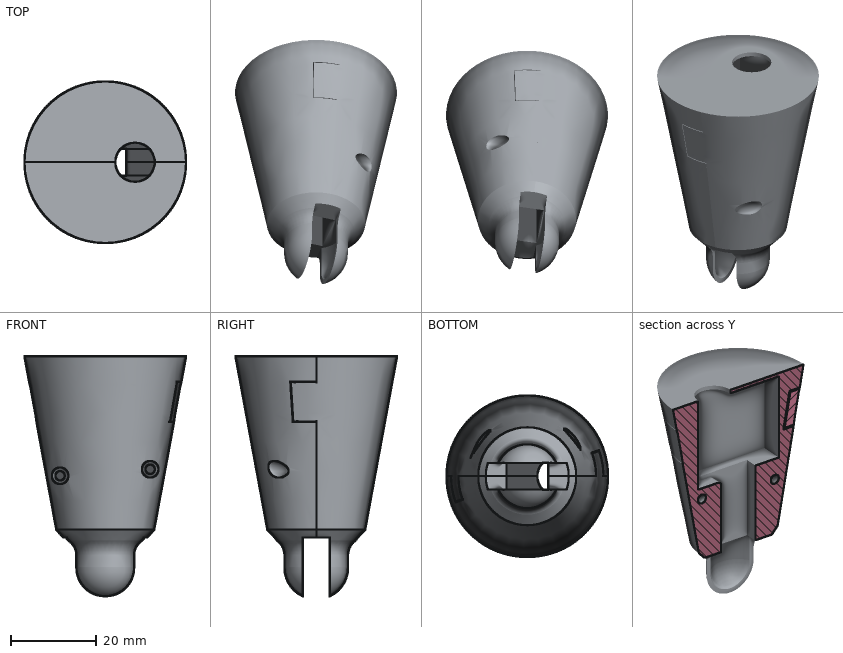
import cadquery as cq
import math


total_height = 56.35
top_radius = 19.0
waist_radius = 11.5
waist_height = 15.65
flare_radius = 9.1
flare_height = 13.0
neck_top = 9.8
dome_radius = 7.5
wall = 1.0

slot_width = 6.25
slot_top = 13.75
dome_center = math.sqrt(dome_radius**2 - (slot_width / 2)**2)
prong_pocket_radius = dome_radius - wall

chamber_length = 23.35
chamber_width = 11.05
chamber_floor = 33.8
well_length = 9.8
ledge_depth = 1.1
ledge_round = 1.05

cord_hole_diameter = 9.2
cord_hole_x = 7.0

screw_axes = [(-10.6, 28.3), (10.55, 29.8)]
screw_head_diameter = 3.9
screw_hole_diameter = 2.2
screw_head_seat = -3.0
screw_hole_end = 5.0

tab_angle = 20.0
tab_bottom = 40.85
tab_top = 50.45
tab_depth = 3.0
tab_clearance = 0.15
tab_root_angle = 10.0

reach = 2 * top_radius


def taper_radius(z):
    """Outer radius of the long taper at height z."""
    slope = (top_radius - waist_radius) / (total_height - waist_height)
    return waist_radius + slope * (z - waist_height)


def block(x_range, y_range, z_range):
    """Box between the given limits."""
    (x0, x1), (y0, y1), (z0, z1) = x_range, y_range, z_range
    return cq.Workplane("XY").box(x1 - x0, y1 - y0, z1 - z0, centered=False).translate((x0, y0, z0))


def rod_along_y(x, z, diameter, y_start, y_end):
    """Cylinder along Y between two Y positions."""
    rod = cq.Solid.makeCylinder(diameter / 2, y_end - y_start, cq.Vector(x, y_start, z), cq.Vector(0, 1, 0))
    return cq.Workplane(rod)


def domed_profile(radius):
    """Half-profile of a dome, drawn from its lowest point up to its equator."""
    diagonal = radius * math.sqrt(0.5)
    return (
        cq.Workplane("XZ")
        .moveTo(0, dome_center - radius)
        .threePointArc((diagonal, dome_center - diagonal), (radius, dome_center))
    )


def outer_shape():
    rise = flare_height - neck_top
    spread = flare_radius - dome_radius
    arc_radius = (rise**2 + spread**2) / (2 * spread)
    half_angle = math.asin(rise / arc_radius) / 2
    flare_mid = (
        dome_radius + arc_radius * (1 - math.cos(half_angle)),
        neck_top + arc_radius * math.sin(half_angle),
    )
    return (
        domed_profile(dome_radius)
        .lineTo(dome_radius, neck_top)
        .threePointArc(flare_mid, (flare_radius, flare_height))
        .lineTo(waist_radius, waist_height)
        .lineTo(top_radius, total_height)
        .lineTo(0, total_height)
        .close()
        .revolve(360, (0, 0, 0), (0, 1, 0))
    )


def fork_slot():
    return block((-reach, reach), (-slot_width / 2, slot_width / 2), (-dome_radius, slot_top))


def prong_pockets():
    """Domed hollow that leaves a thin wall on both prongs."""
    return (
        domed_profile(prong_pocket_radius)
        .lineTo(prong_pocket_radius, slot_top)
        .lineTo(0, slot_top)
        .close()
        .revolve(360, (0, 0, 0), (0, 1, 0))
    )


def chamber():
    x_range = (-chamber_length / 2, chamber_length / 2)
    y_range = (-chamber_width / 2, chamber_width / 2)
    return block(x_range, y_range, (chamber_floor, total_height - wall))


def well():
    """Channel from the chamber to the slot, with a round-edged ledge on its +X side."""
    ledge_z = chamber_floor - ledge_depth
    well_x = well_length / 2
    diagonal = ledge_round * (1 - math.sqrt(0.5))
    return (
        cq.Workplane("XZ", origin=(0, slot_width / 2, 0))
        .moveTo(-well_x, slot_top)
        .lineTo(well_x, slot_top)
        .lineTo(well_x, ledge_z - ledge_round)
        .threePointArc((well_x + diagonal, ledge_z - diagonal), (well_x + ledge_round, ledge_z))
        .lineTo(chamber_length / 2, ledge_z)
        .lineTo(chamber_length / 2, chamber_floor)
        .lineTo(-well_x, chamber_floor)
        .close()
        .extrude(slot_width)
    )


def cord_hole():
    return (
        cq.Workplane("XY", origin=(cord_hole_x, 0, total_height - wall))
        .circle(cord_hole_diameter / 2)
        .extrude(wall)
    )


def hollow_handle():
    """Both halves together, before parting."""
    handle = outer_shape()
    for cavity in (fork_slot(), prong_pockets(), chamber(), well(), cord_hole()):
        handle = handle.cut(cavity)
    for x, z in screw_axes:
        handle = handle.cut(rod_along_y(x, z, screw_head_diameter, -reach, screw_head_seat))
        handle = handle.cut(rod_along_y(x, z, screw_hole_diameter, screw_head_seat, screw_hole_end))
    return handle


def tab_sector(clearance, root_angle):
    """Sector at +X from root_angle behind the parting plane to the tab's end on the -Y side.

    Its inner face follows the taper; its outer face lies outside the handle.
    """
    bottom = tab_bottom + clearance
    top = tab_top - clearance
    depth = tab_depth - clearance
    end_angle = tab_angle - math.degrees(clearance / taper_radius((bottom + top) / 2))
    return (
        cq.Workplane("XZ")
        .moveTo(taper_radius(bottom) - depth, bottom)
        .lineTo(reach, bottom)
        .lineTo(reach, top)
        .lineTo(taper_radius(top) - depth, top)
        .close()
        .revolve(root_angle + end_angle, (0, 0, 0), (0, -1, 0))
        .rotate((0, 0, 0), (0, 0, 1), root_angle)
    )


def half_turn(shape):
    return shape.rotate((0, 0, 0), (0, 0, 1), 180)


def parted_half(y_range, tab, recess):
    """The side of the handle within y_range, plus its own tab and less the other half's tab recess."""
    side = block((-reach, reach), y_range, (-wall, total_height + wall))
    return hollow_handle().intersect(side.cut(recess).union(tab))


tab_at_right = tab_sector(tab_clearance, tab_root_angle)
recess_at_right = tab_sector(0, 0)

front_half = parted_half((-reach, 0), half_turn(tab_at_right), recess_at_right)
back_half = parted_half((0, reach), tab_at_right, half_turn(recess_at_right))

result = cq.Compound.makeCompound([front_half.solids().val(), back_half.solids().val()])